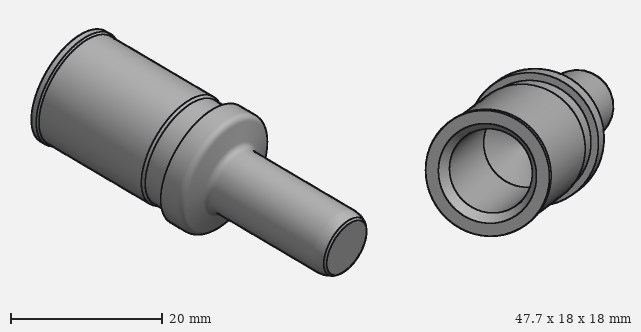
import cadquery as cq
import math

length = 47.7

rim_radius = 8.5
rim_end = 0.85
barrel_radius = 8.25
barrel_start = 1.15
barrel_end = 19.0
neck_radius = 7.95
neck_start = 19.4

flange_radius = 8.99
flange_start = 23.0
flange_rim_end = 25.7
shoulder_radius = 1.0
shoulder_slope = math.radians(75)

pin_radius = 4.75
pin_end = 45.85
nose_radius = 4.35
nose_end = 47.4
tip_radius = 4.05
nose_curve_radius = (
    (nose_end - pin_end) ** 2 + (pin_radius - nose_radius) ** 2
) / (2 * (pin_radius - nose_radius))

mouth_radius = 6.73
bore_radius = 5.7
mouth_depth = 1.7
bore_depth = 19.1
drill_half_angle = math.radians(59)


def arc_point(center_x, center_r, radius, angle):
    """Point on a profile arc, with the angle measured from the radial direction."""
    return (center_x + radius * math.sin(angle), center_r + radius * math.cos(angle))


def make_body():
    """Solid of revolution, before the socket is bored."""
    round_center_r = flange_radius - shoulder_radius
    fillet_center_r = pin_radius + shoulder_radius
    round_end = arc_point(flange_rim_end, round_center_r, shoulder_radius, shoulder_slope)
    round_middle = arc_point(flange_rim_end, round_center_r, shoulder_radius, shoulder_slope / 2)

    fillet_start_r = fillet_center_r - shoulder_radius * math.cos(shoulder_slope)
    fillet_start_x = round_end[0] + (round_end[1] - fillet_start_r) / math.tan(shoulder_slope)
    fillet_end_x = fillet_start_x + shoulder_radius * math.sin(shoulder_slope)
    fillet_middle = arc_point(
        fillet_end_x, fillet_center_r, shoulder_radius, math.pi + shoulder_slope / 2
    )

    nose_angle = math.asin((nose_end - pin_end) / nose_curve_radius)
    nose_middle = arc_point(
        pin_end, pin_radius - nose_curve_radius, nose_curve_radius, nose_angle / 2
    )

    profile = (
        cq.Workplane("XY")
        .moveTo(0, 0)
        .lineTo(0, rim_radius)
        .lineTo(rim_end, rim_radius)
        .lineTo(barrel_start, barrel_radius)
        .lineTo(barrel_end, barrel_radius)
        .lineTo(neck_start, neck_radius)
        .lineTo(flange_start, neck_radius)
        .lineTo(flange_start, flange_radius)
        .lineTo(flange_rim_end, flange_radius)
        .threePointArc(round_middle, round_end)
        .lineTo(fillet_start_x, fillet_start_r)
        .threePointArc(fillet_middle, (fillet_end_x, pin_radius))
        .lineTo(pin_end, pin_radius)
        .threePointArc(nose_middle, (nose_end, nose_radius))
        .lineTo(length, tip_radius)
        .lineTo(length, 0)
        .close()
    )
    return profile.revolve(360, (0, 0, 0), (1, 0, 0))


def make_socket():
    """Bore with a flared mouth and a conical drill-point bottom."""
    drill_tip = bore_depth + bore_radius / math.tan(drill_half_angle)
    profile = (
        cq.Workplane("XY")
        .moveTo(0, 0)
        .lineTo(0, mouth_radius)
        .lineTo(mouth_depth, bore_radius)
        .lineTo(bore_depth, bore_radius)
        .lineTo(drill_tip, 0)
        .close()
    )
    return profile.revolve(360, (0, 0, 0), (1, 0, 0))


result = make_body().cut(make_socket())